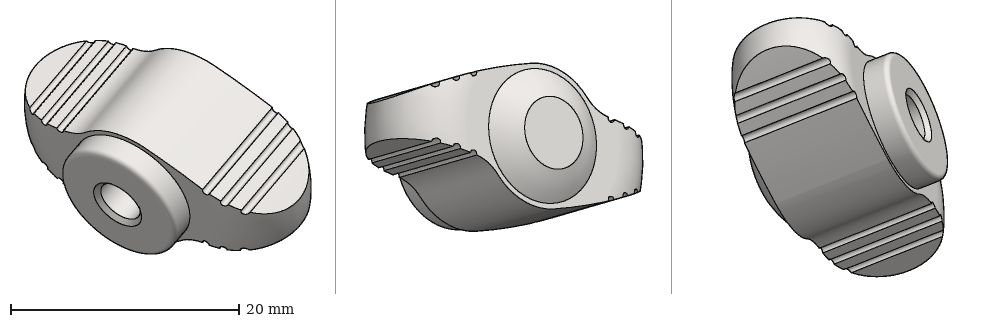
import cadquery as cq
import math

length = 28.0
body_width = 11.0
body_height = 13.0
hub_diameter = 12.0
boss_height = 2.4
boss_edge_radius = 0.48
dome_height = 1.6
dome_flat_diameter = 6.5
bore_diameter = 4.15
bore_depth = 8.4
bore_tip_angle = 118.0
bore_chamfer = 0.45

hub_radius = body_height / 2
hub_start_angle = 140.0
hub_end_angle = 79.3
fillet_radius = 4.2
straight_flank_slope = 11.0
convex_flank_middle = (8.05, 4.53)
convex_flank_end = (14.0, 2.07)
outline_half_length = length / 2 + 0.28

groove_radius = 0.35
groove_count = 3
first_groove_x = 7.67
groove_pitch = 1.75

half_width = body_width / 2
half_length = length / 2


def polar(radius, degrees, center=(0.0, 0.0)):
    angle = math.radians(degrees)
    return (center[0] + radius * math.cos(angle), center[1] + radius * math.sin(angle))


def opposite(point):
    """Half-turn of an outline point about the hub axis."""
    return (-point[0], -point[1])


def arc_center(start, middle, end):
    """Center of the circle through three points."""
    ux, uz = middle[0] - start[0], middle[1] - start[1]
    vx, vz = end[0] - start[0], end[1] - start[1]
    u_squared = ux**2 + uz**2
    v_squared = vx**2 + vz**2
    double_cross = 2 * (ux * vz - uz * vx)
    return (
        start[0] + (vz * u_squared - uz * v_squared) / double_cross,
        start[1] + (ux * v_squared - vx * u_squared) / double_cross,
    )


hub_start = polar(hub_radius, hub_start_angle)
hub_top = (0.0, hub_radius)
hub_end = polar(hub_radius, hub_end_angle)
fillet_center = polar(hub_radius + fillet_radius, hub_start_angle)
fillet_end_angle = straight_flank_slope - 90
fillet_middle_angle = (hub_start_angle - 180 + fillet_end_angle) / 2
fillet_middle = polar(fillet_radius, fillet_middle_angle, fillet_center)
fillet_end = polar(fillet_radius, fillet_end_angle, fillet_center)
flank_center = arc_center(hub_end, convex_flank_middle, convex_flank_end)
flank_radius = math.dist(flank_center, hub_end)


def straight_flank_z(x):
    return fillet_end[1] + (x - fillet_end[0]) * math.tan(math.radians(straight_flank_slope))


def convex_flank_z(x):
    return flank_center[1] + math.sqrt(flank_radius**2 - (x - flank_center[0]) ** 2)


def wing_prism():
    left_tip = (-outline_half_length, straight_flank_z(-outline_half_length))
    right_tip = (outline_half_length, convex_flank_z(outline_half_length))
    return (
        cq.Workplane("XZ")
        .moveTo(*left_tip)
        .lineTo(*fillet_end)
        .threePointArc(fillet_middle, hub_start)
        .threePointArc(hub_top, hub_end)
        .threePointArc(convex_flank_middle, right_tip)
        .lineTo(*opposite(left_tip))
        .lineTo(*opposite(fillet_end))
        .threePointArc(opposite(fillet_middle), opposite(hub_start))
        .threePointArc(opposite(hub_top), opposite(hub_end))
        .threePointArc(opposite(convex_flank_middle), opposite(right_tip))
        .close()
        .extrude(half_width, both=True)
    )


def rounded_disc():
    """Disc about Y with a full-round rim, which shapes the wing ends."""
    return (
        cq.Workplane("XY")
        .moveTo(0, -half_width)
        .lineTo(half_length - half_width, -half_width)
        .threePointArc((half_length, 0), (half_length - half_width, half_width))
        .lineTo(0, half_width)
        .close()
        .revolve(360, (0, 0, 0), (0, 1, 0))
    )


def groove_cutters():
    centers = []
    for index in range(groove_count):
        x = first_groove_x + index * groove_pitch
        right = (x, convex_flank_z(x))
        left = (-x, straight_flank_z(-x))
        centers += [right, left, opposite(right), opposite(left)]
    return cq.Workplane("XZ").pushPoints(centers).circle(groove_radius).extrude(body_width, both=True)


def boss():
    return (
        cq.Workplane("XZ")
        .circle(hub_diameter / 2)
        .extrude(half_width + boss_height)
        .faces("<Y")
        .edges()
        .fillet(boss_edge_radius)
    )


def dome():
    """Flat-topped spherical cap on the +Y face."""
    base_radius = hub_diameter / 2
    flat_radius = dome_flat_diameter / 2
    base_offset = (base_radius**2 - flat_radius**2 - dome_height**2) / (2 * dome_height)
    sphere_radius = math.hypot(base_radius, base_offset)
    middle_radius = (base_radius + flat_radius) / 2
    middle_height = math.sqrt(sphere_radius**2 - middle_radius**2) - base_offset
    return (
        cq.Workplane("XY")
        .lineTo(base_radius, 0)
        .lineTo(base_radius, half_width)
        .threePointArc((middle_radius, half_width + middle_height), (flat_radius, half_width + dome_height))
        .lineTo(0, half_width + dome_height)
        .close()
        .revolve(360, (0, 0, 0), (0, 1, 0))
    )


def bore_cutter():
    """Chamfered blind bore with a conical bottom, open on the boss face."""
    radius = bore_diameter / 2
    mouth_y = -half_width - boss_height
    bottom_y = mouth_y + bore_depth
    tip_height = radius / math.tan(math.radians(bore_tip_angle / 2))
    return (
        cq.Workplane("XY")
        .moveTo(0, mouth_y)
        .lineTo(radius + bore_chamfer, mouth_y)
        .lineTo(radius, mouth_y + bore_chamfer)
        .lineTo(radius, bottom_y)
        .lineTo(0, bottom_y + tip_height)
        .close()
        .revolve(360, (0, 0, 0), (0, 1, 0))
    )


wing = wing_prism().intersect(rounded_disc()).cut(groove_cutters())
result = wing.union(boss()).union(dome()).cut(bore_cutter())